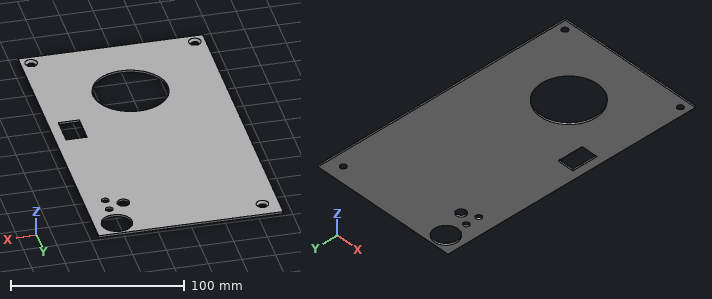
import cadquery as cq

WIDTH = 109.8
LENGTH = 196.0
THICKNESS = 1.53
TOP = THICKNESS / 2

SCREW_DIAMETER = 4.3
SINK_DIAMETER = 7.3
SINK_ANGLE = 90
FRONT_SCREW_INSET = 6.3
REAR_SCREW_INSET = 9.8
REAR_ROW_Y = 87.0
front_screw_x = WIDTH / 2 - FRONT_SCREW_INSET
front_screw_y = -LENGTH / 2 + FRONT_SCREW_INSET
screw_centres = [
    (-front_screw_x, front_screw_y),
    (front_screw_x, front_screw_y),
    (-WIDTH / 2 + REAR_SCREW_INSET, REAR_ROW_Y),
]

MAIN_OPENING_DIAMETER = 44.3
MAIN_OPENING_CENTRE = (0, -49.2)

CORNER_OPENING_DIAMETER = 18.0
CORNER_OPENING_CENTRE = (41.4, REAR_ROW_Y)

MEDIUM_HOLE_DIAMETER = 7.3
MEDIUM_HOLE_CENTRE = (32.5, 66.7)
SMALL_HOLE_DIAMETER = 4.3
SMALL_HOLE_X = 42.2
SMALL_HOLE_SPACING = 9.8
small_hole_centres = [
    (SMALL_HOLE_X, MEDIUM_HOLE_CENTRE[1] + side * SMALL_HOLE_SPACING / 2) for side in (-1, 1)
]

WINDOW_WIDTH = 12.4
WINDOW_LENGTH = 18.8
WINDOW_CENTRE = (42.4, -16.3)


def top_points(centres):
    """Place points on the top face, measured from the plate centre."""
    return cq.Workplane("XY").workplane(offset=TOP).pushPoints(centres)


def round_cutter(centres, diameter):
    """Cylinders that pass through the whole plate."""
    return top_points(centres).circle(diameter / 2).extrude(-THICKNESS)


plate = cq.Workplane("XY").box(WIDTH, LENGTH, THICKNESS)

plate = plate.cut(round_cutter([MAIN_OPENING_CENTRE], MAIN_OPENING_DIAMETER))
plate = plate.cut(round_cutter([CORNER_OPENING_CENTRE], CORNER_OPENING_DIAMETER))
plate = plate.cut(round_cutter([MEDIUM_HOLE_CENTRE], MEDIUM_HOLE_DIAMETER))
plate = plate.cut(round_cutter(small_hole_centres, SMALL_HOLE_DIAMETER))

window = top_points([WINDOW_CENTRE]).rect(WINDOW_WIDTH, WINDOW_LENGTH).extrude(-THICKNESS)
plate = plate.cut(window)

result = (
    plate.faces(">Z")
    .workplane(origin=(0, 0, TOP))
    .pushPoints(screw_centres)
    .cskHole(SCREW_DIAMETER, SINK_DIAMETER, SINK_ANGLE)
)